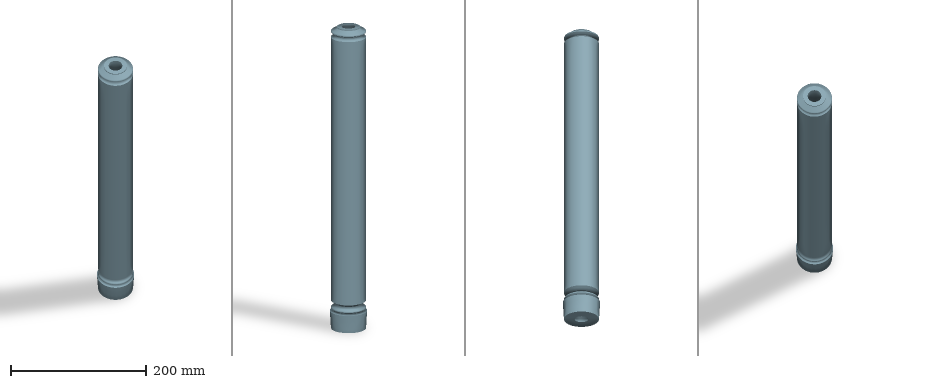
import cadquery as cq

total_height = 469.0
bore_diameter = 20.0
body_diameter = 52.0

foot_top_diameter = 55.5
foot_bottom_diameter = 52.0
foot_height = 27.0

disc_land_diameter = 34.0
disc_land_height = 1.5
disc_upper_cone_height = 4.5
disc_rim_height = 2.0
disc_underside_height = 3.0
rim_rounding = 2.0
disc_height = disc_land_height + disc_upper_cone_height + disc_rim_height + disc_underside_height

upper_neck_diameter = 39.5
lower_neck_diameter = 43.5
waist_diameter = 37.0
body_bottom = 43.0
body_top = 453.0
upper_shoulder_height = 3.5
lower_shoulder_height = 4.5
lower_disc_top = 39.5


def cylinder(diameter, bottom, top):
    return cq.Workplane("XY").workplane(offset=bottom).circle(diameter / 2).extrude(top - bottom)


def cone(bottom_diameter, top_diameter, bottom, top):
    """Solid frustum between two heights on the Z axis."""
    return (
        cq.Workplane("XZ")
        .moveTo(0, bottom)
        .lineTo(bottom_diameter / 2, bottom)
        .lineTo(top_diameter / 2, top)
        .lineTo(0, top)
        .close()
        .revolve(360, (0, 0), (0, 1))
    )


def disc(top, neck_diameter):
    """Disc with a raised land, a conical upper side, a rounded rim and a conical underside."""
    rim_radius = body_diameter / 2
    land_radius = disc_land_diameter / 2
    underside_bottom = top - disc_height
    rim_bottom = underside_bottom + disc_underside_height
    rim_top = rim_bottom + disc_rim_height
    sharp_disc = (
        cq.Workplane("XZ")
        .moveTo(0, underside_bottom)
        .lineTo(neck_diameter / 2, underside_bottom)
        .lineTo(rim_radius, rim_bottom)
        .lineTo(rim_radius, rim_top)
        .lineTo(land_radius, top - disc_land_height)
        .lineTo(land_radius, top)
        .lineTo(0, top)
        .close()
        .revolve(360, (0, 0), (0, 1))
    )
    rim_edges = sharp_disc.edges(cq.selectors.RadiusNthSelector(-1))
    return rim_edges.edges(">Z").fillet(rim_rounding)


foot = cone(foot_bottom_diameter, foot_top_diameter, 0, foot_height)

lower_disc_bottom = lower_disc_top - disc_height
lower_neck = cylinder(lower_neck_diameter, foot_height, lower_disc_bottom)
lower_disc = disc(lower_disc_top, lower_neck_diameter)
lower_shoulder = cone(waist_diameter, body_diameter, body_bottom - lower_shoulder_height, body_bottom)

body = cylinder(body_diameter, body_bottom, body_top)

upper_disc_bottom = total_height - disc_height
upper_shoulder_top = body_top + upper_shoulder_height
upper_shoulder = cone(body_diameter, upper_neck_diameter, body_top, upper_shoulder_top)
upper_neck = cylinder(upper_neck_diameter, upper_shoulder_top, upper_disc_bottom)
upper_disc = disc(total_height, upper_neck_diameter)

result = foot
for section in (lower_neck, lower_disc, lower_shoulder, body, upper_shoulder, upper_neck, upper_disc):
    result = result.union(section)

result = result.cut(cylinder(bore_diameter, 0, total_height))